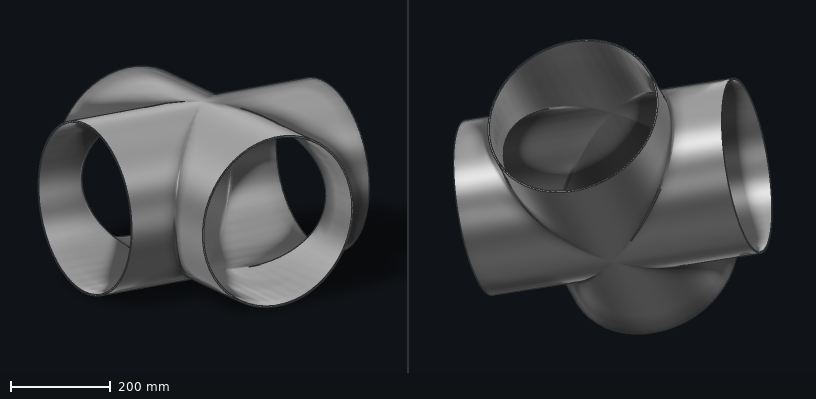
import cadquery as cq

pipe_length = 560.0
outer_diameter = 355.5
inner_diameter = 349.5
wall = (outer_diameter - inner_diameter) / 2

outer_seam_radius = 5.0
inner_seam_radius = outer_seam_radius + wall


def rounded_cross(diameter, seam_radius):
    """Two equal crossing cylinders with fillets along their mitred seams."""
    radius = diameter / 2
    along_x = cq.Workplane("YZ").circle(radius).extrude(pipe_length / 2, both=True)
    along_y = cq.Workplane("XZ").circle(radius).extrude(pipe_length / 2, both=True)
    cross = along_x.union(along_y)
    return cross.edges("%ELLIPSE").fillet(seam_radius)


outer_body = rounded_cross(outer_diameter, outer_seam_radius)
bore = rounded_cross(inner_diameter, inner_seam_radius)

result = outer_body.cut(bore)